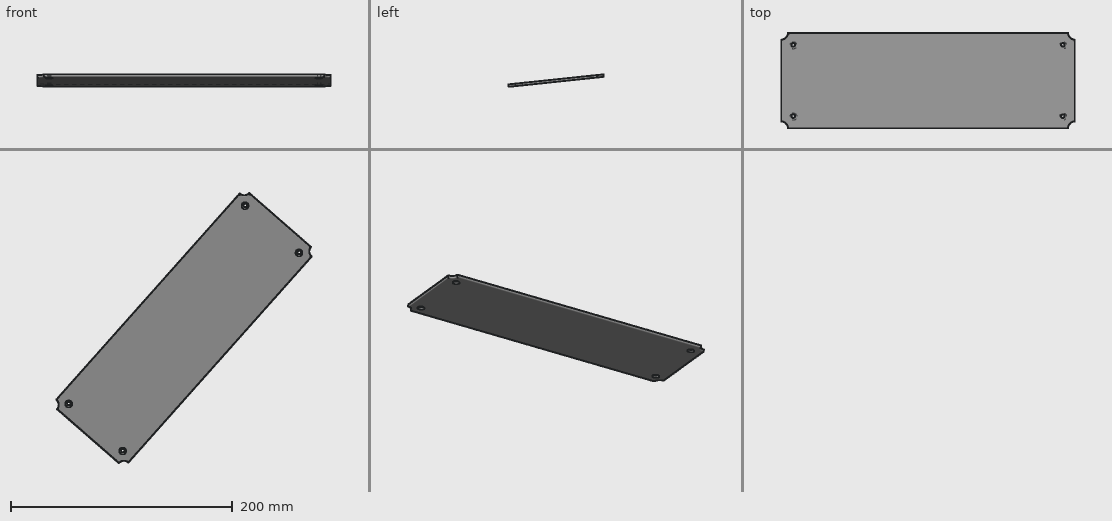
import cadquery as cq

length = 264.8
width = 86.3
thickness = 2.5

tilt = 6.0

underside_rounding = 1.0
corner_notch_radius = 6.0

hole_diameter = 3.2
countersink_diameter = 6.4
countersink_angle = 90.0
hole_inset = 10.9


def make_plate():
    """Flat plate with a concave quarter-round notch at each corner."""
    plate = cq.Workplane("XY").box(length, width, thickness)
    notches = (
        cq.Workplane("XY")
        .rect(length, width, forConstruction=True)
        .vertices()
        .circle(corner_notch_radius)
        .extrude(thickness, both=True)
    )
    return plate.cut(notches)


def round_underside(plate):
    """Round the whole outline of the lower face; the upper edges stay sharp."""
    return plate.faces("<Z").edges().fillet(underside_rounding)


def cut_screw_holes(plate):
    """Through holes near the corners, countersunk from the underside."""
    return (
        plate.faces("<Z")
        .workplane(centerOption="CenterOfBoundBox")
        .rect(length - 2 * hole_inset, width - 2 * hole_inset, forConstruction=True)
        .vertices()
        .cskHole(hole_diameter, countersink_diameter, countersink_angle)
    )


flat_plate = cut_screw_holes(round_underside(make_plate()))
result = flat_plate.rotate((0, 0, 0), (1, 0, 0), -tilt)